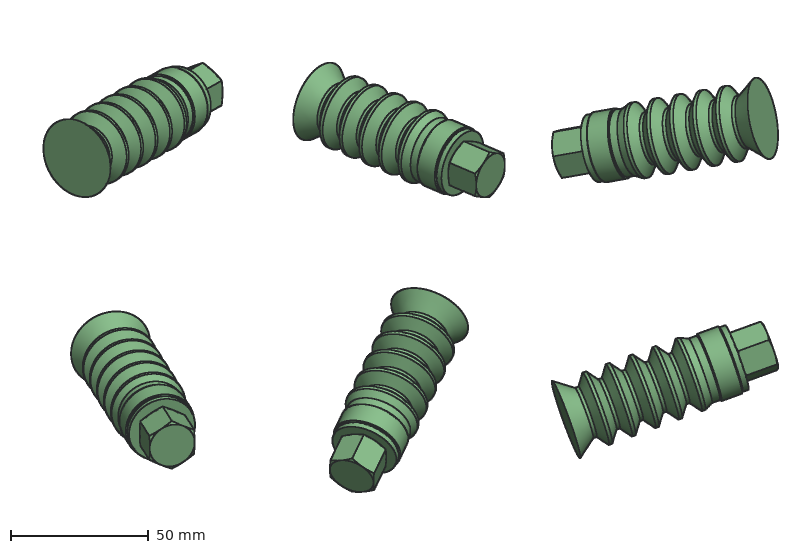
import cadquery as cq
import math


overall_length = 79.0
lip_height = 6.95
crest_width = 1.35
fold_pitch = 9.0
fold_count = 5
cone_length = 3.15
shoulder_length = 3.1
collar_length = 3.15
groove_width = 0.4
ring_length = 8.0

lip_diameter = 30.0
neck_diameter = 19.5
crest_diameter = 28.0
collar_diameter = 25.0
groove_diameter = 24.0
ring_diameter = 26.0

hex_length = 12.9
hex_across_flats = 17.0
hex_across_corners = hex_across_flats / math.cos(math.pi / 6)
hex_chamfer_length = 0.55

neck_width = fold_pitch - crest_width - 2 * cone_length
first_crest_start = lip_height + neck_width + cone_length
last_crest_end = first_crest_start + (fold_count - 1) * fold_pitch + crest_width
shoulder_end = last_crest_end + shoulder_length
lower_groove_start = shoulder_end + collar_length
ring_start = lower_groove_start + groove_width
ring_end = ring_start + ring_length
flange_start = ring_end + groove_width
hex_start = overall_length - hex_length


def revolve_about_y(stations):
    """Revolve a solid profile given as (diameter, Y) stations."""
    outline = [(diameter / 2, y) for diameter, y in stations]
    axis_points = [(0, stations[-1][1]), (0, stations[0][1])]
    profile = cq.Workplane("XY").polyline(outline + axis_points).close()
    return profile.revolve(360, (0, 0, 0), (0, 1, 0))


def make_bellows_and_collar():
    """Lip, folds, clamping ring and flange as one turned body."""
    stations = [(lip_diameter, 0), (neck_diameter, lip_height)]
    for fold in range(fold_count):
        crest_start = first_crest_start + fold * fold_pitch
        crest_end = crest_start + crest_width
        stations.append((neck_diameter, crest_start - cone_length))
        stations.append((crest_diameter, crest_start))
        stations.append((crest_diameter, crest_end))
        if fold < fold_count - 1:
            stations.append((neck_diameter, crest_end + cone_length))
    stations += [
        (collar_diameter, shoulder_end),
        (collar_diameter, lower_groove_start),
        (groove_diameter, lower_groove_start),
        (groove_diameter, ring_start),
        (ring_diameter, ring_start),
        (ring_diameter, ring_end),
        (groove_diameter, ring_end),
        (groove_diameter, flange_start),
        (collar_diameter, flange_start),
        (collar_diameter, hex_start),
    ]
    return revolve_about_y(stations)


def make_hex():
    """Hexagon with flats facing +X and -X, its corners turned down at both ends."""
    prism = (
        cq.Workplane("XZ", origin=(0, hex_start, 0))
        .transformed(rotate=(0, 0, 90))
        .polygon(6, hex_across_corners)
        .extrude(-hex_length)
    )
    chamfer_envelope = revolve_about_y([
        (hex_across_flats, hex_start),
        (hex_across_corners, hex_start + hex_chamfer_length),
        (hex_across_corners, overall_length - hex_chamfer_length),
        (hex_across_flats, overall_length),
    ])
    return prism.intersect(chamfer_envelope)


result = make_bellows_and_collar().union(make_hex())